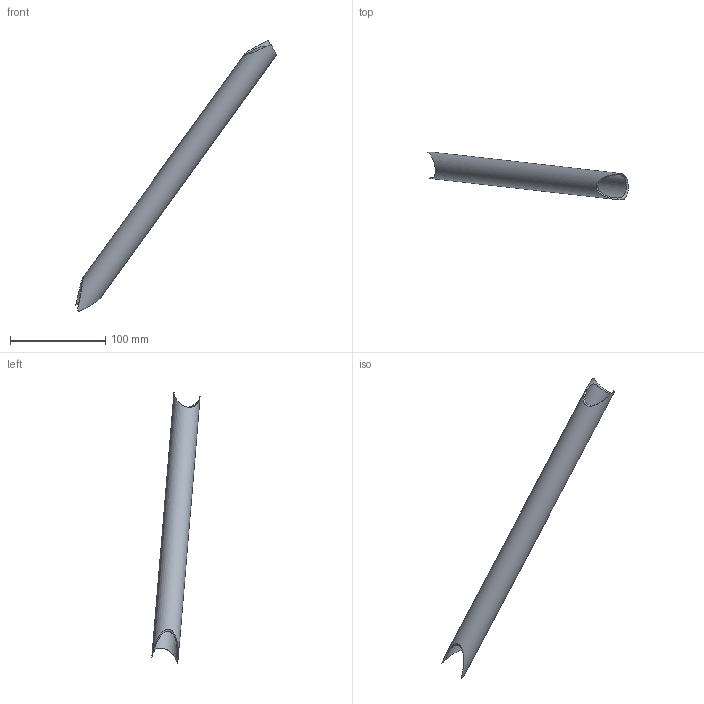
import cadquery as cq
import math

TUBE_RADIUS = 13.86
WALL = 1.5
INNER_RADIUS = TUBE_RADIUS - WALL

LOWER_NODE = (-104.75, 11.80, -139.86)
NODE_SPACING = 346.94
TUBE_AZIMUTH = -6.59
TUBE_ELEVATION = 53.93

COPE_CLEARANCE = 0.01
NEIGHBOUR_RADIUS = TUBE_RADIUS + COPE_CLEARANCE
NEIGHBOUR_LENGTH = 200.0
STEEP_AZIMUTH = 218.0
STEEP_ELEVATION = 75.8
LOWER_CHORD_AZIMUTH = 10.7
UPPER_CHORD_AZIMUTH = 5.84


def direction(azimuth, elevation=0.0):
    """Unit vector at an azimuth from +X and an elevation above the XY plane."""
    az = math.radians(azimuth)
    el = math.radians(elevation)
    return cq.Vector(math.cos(az) * math.cos(el), math.sin(az) * math.cos(el), math.sin(el))


def rod(radius, start, axis, length):
    """Solid cylinder from a start point along an axis."""
    return cq.Workplane(obj=cq.Solid.makeCylinder(radius, length, start, axis))


def neighbour(node, axis):
    """Solid envelope of a neighbouring tube, centred on a node."""
    return rod(NEIGHBOUR_RADIUS, node - axis * (NEIGHBOUR_LENGTH / 2), axis, NEIGHBOUR_LENGTH)


tube_axis = direction(TUBE_AZIMUTH, TUBE_ELEVATION)
lower_node = cq.Vector(*LOWER_NODE)
upper_node = lower_node + tube_axis * NODE_SPACING

tube = rod(TUBE_RADIUS, lower_node, tube_axis, NODE_SPACING)
tube = tube.cut(rod(INNER_RADIUS, lower_node, tube_axis, NODE_SPACING))

tube = tube.cut(neighbour(lower_node, direction(STEEP_AZIMUTH, STEEP_ELEVATION)))
tube = tube.cut(neighbour(lower_node, direction(LOWER_CHORD_AZIMUTH)))

result = tube.cut(neighbour(upper_node, direction(UPPER_CHORD_AZIMUTH)))